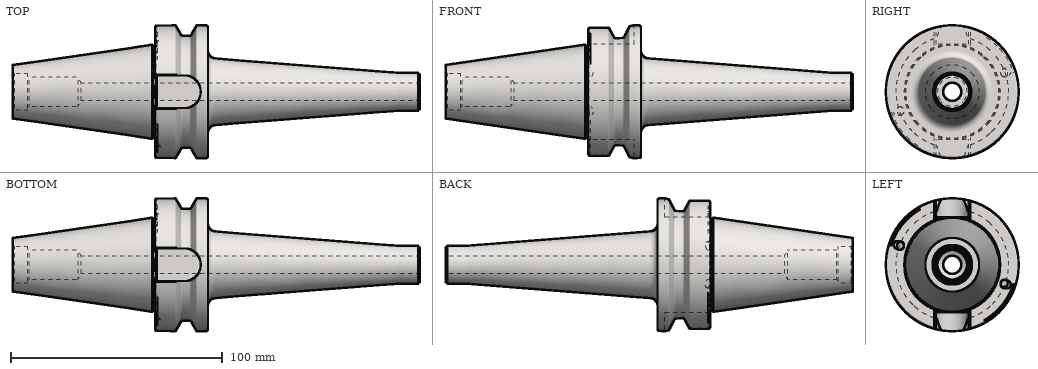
import cadquery as cq
import math

TOTAL_LENGTH = 192.4
GAUGE_X = 65.8
FLANGE_START = 67.3
FLANGE_END = 92.4
NOSE_START = 182.2

GAUGE_DIAMETER = 44.6
GAUGE_RADIUS = GAUGE_DIAMETER / 2
TAPER_RATE = 7 / 24
SHANK_END_RADIUS = GAUGE_RADIUS - GAUGE_X * TAPER_RATE / 2

UNDERCUT_START = 66.4
UNDERCUT_END = 67.7
UNDERCUT_RADIUS = 22.0
UNDERCUT_FACE_RADIUS = 22.7

FLANGE_DIAMETER = 63.0
FLANGE_RADIUS = FLANGE_DIAMETER / 2
RIM_FILLET = 1.2
GROOVE_CENTRE = 82.0
GROOVE_FLOOR_RADIUS = 26.5
GROOVE_FLOOR_WIDTH = 4.2
GROOVE_FLOOR_FILLET = 0.8
GROOVE_RIM_FILLET = 0.5
GROOVE_FLANK_ANGLE = 60

NOSE_RADIUS = 9.0
NOSE_CHAMFER = 1.0
NECK_HALF_ANGLE = 4.5
NECK_FILLET = 3.5

SLOT_WIDTH = 15.5
SLOT_FLOOR = 22.5
SLOT_END = 88.9
SLOT_EDGE_BREAK = 0.5
SLOT_MOUTH_CHAMFER = 0.8
CHAMFER_ANGLE = 45

MOUTH_RADIUS = 9.5
COUNTERBORE_RADIUS = 8.7
COUNTERBORE_DEPTH = 7.0
THREAD_RADIUS = 7.0
THREAD_CHAMFER = 0.8
THREAD_DEPTH = 30.8
THROUGH_RADIUS = 4.2
DRILL_HALF_ANGLE = 60

COOLANT_HOLE_DIAMETER = 4.0
COOLANT_MOUTH_RADIUS = 27.0
COOLANT_DEPTH = 1.5
COOLANT_TILT = 35
COOLANT_ANGLE = 20
COOLANT_LEAD = 2.9

RING_TOLERANCE = 0.02


def revolve_about_x(outline):
    return outline.close().revolve(360, (0, 0, 0), (1, 0, 0))


def fillet_ring(body, x, radius, size):
    def is_ring(edge):
        return abs(edge.arcCenter().x - x) < RING_TOLERANCE and abs(edge.radius() - radius) < RING_TOLERANCE

    return body.edges("%CIRCLE").filter(is_ring).fillet(size)


def make_body():
    flank_run = (FLANGE_RADIUS - GROOVE_FLOOR_RADIUS) / math.tan(math.radians(GROOVE_FLANK_ANGLE))
    floor_half = GROOVE_FLOOR_WIDTH / 2
    top_half = floor_half + flank_run
    neck_root = NOSE_RADIUS + (NOSE_START - FLANGE_END) * math.tan(math.radians(NECK_HALF_ANGLE))
    outline = (
        cq.Workplane("XZ")
        .lineTo(0, SHANK_END_RADIUS)
        .lineTo(GAUGE_X, GAUGE_RADIUS)
        .lineTo(UNDERCUT_START, UNDERCUT_RADIUS)
        .lineTo(UNDERCUT_END, UNDERCUT_RADIUS)
        .lineTo(UNDERCUT_END, UNDERCUT_FACE_RADIUS)
        .lineTo(FLANGE_START, UNDERCUT_FACE_RADIUS)
        .lineTo(FLANGE_START, FLANGE_RADIUS)
        .lineTo(GROOVE_CENTRE - top_half, FLANGE_RADIUS)
        .lineTo(GROOVE_CENTRE - floor_half, GROOVE_FLOOR_RADIUS)
        .lineTo(GROOVE_CENTRE + floor_half, GROOVE_FLOOR_RADIUS)
        .lineTo(GROOVE_CENTRE + top_half, FLANGE_RADIUS)
        .lineTo(FLANGE_END, FLANGE_RADIUS)
        .lineTo(FLANGE_END, neck_root)
        .lineTo(NOSE_START, NOSE_RADIUS)
        .lineTo(TOTAL_LENGTH - NOSE_CHAMFER, NOSE_RADIUS)
        .lineTo(TOTAL_LENGTH, NOSE_RADIUS - NOSE_CHAMFER)
        .lineTo(TOTAL_LENGTH, 0)
    )
    body = revolve_about_x(outline)
    fillets = (
        (FLANGE_END, neck_root, NECK_FILLET),
        (FLANGE_START, FLANGE_RADIUS, RIM_FILLET),
        (FLANGE_END, FLANGE_RADIUS, RIM_FILLET),
        (GROOVE_CENTRE - top_half, FLANGE_RADIUS, GROOVE_RIM_FILLET),
        (GROOVE_CENTRE + top_half, FLANGE_RADIUS, GROOVE_RIM_FILLET),
        (GROOVE_CENTRE - floor_half, GROOVE_FLOOR_RADIUS, GROOVE_FLOOR_FILLET),
        (GROOVE_CENTRE + floor_half, GROOVE_FLOOR_RADIUS, GROOVE_FLOOR_FILLET),
    )
    for x, radius, size in fillets:
        body = fillet_ring(body, x, radius, size)
    return body


def make_bore():
    mouth_chamfer = MOUTH_RADIUS - COUNTERBORE_RADIUS
    cone_length = (THREAD_RADIUS - THROUGH_RADIUS) / math.tan(math.radians(DRILL_HALF_ANGLE))
    outline = (
        cq.Workplane("XZ")
        .lineTo(0, MOUTH_RADIUS)
        .lineTo(mouth_chamfer, COUNTERBORE_RADIUS)
        .lineTo(COUNTERBORE_DEPTH, COUNTERBORE_RADIUS)
        .lineTo(COUNTERBORE_DEPTH, THREAD_RADIUS + THREAD_CHAMFER)
        .lineTo(COUNTERBORE_DEPTH + THREAD_CHAMFER, THREAD_RADIUS)
        .lineTo(THREAD_DEPTH, THREAD_RADIUS)
        .lineTo(THREAD_DEPTH + cone_length, THROUGH_RADIUS)
        .lineTo(TOTAL_LENGTH, THROUGH_RADIUS)
        .lineTo(TOTAL_LENGTH, 0)
    )
    return revolve_about_x(outline)


def make_drive_slot():
    half_width = SLOT_WIDTH / 2
    arc_centre = SLOT_END - half_width
    pocket = (
        cq.Workplane("XY", origin=(0, 0, SLOT_FLOOR))
        .moveTo(GAUGE_X, -half_width)
        .lineTo(arc_centre, -half_width)
        .threePointArc((SLOT_END, 0), (arc_centre, half_width))
        .lineTo(GAUGE_X, half_width)
        .close()
        .extrude(FLANGE_RADIUS)
    )
    mouth_half_width = half_width + SLOT_MOUTH_CHAMFER
    mouth_floor = SLOT_FLOOR - SLOT_MOUTH_CHAMFER
    mouth_top = SLOT_FLOOR + FLANGE_RADIUS
    mouth_flare = (
        cq.Workplane("YZ", origin=(FLANGE_START, 0, 0))
        .moveTo(-mouth_half_width, mouth_floor)
        .lineTo(mouth_half_width, mouth_floor)
        .lineTo(mouth_half_width, mouth_top)
        .lineTo(-mouth_half_width, mouth_top)
        .close()
        .extrude(SLOT_MOUTH_CHAMFER, taper=CHAMFER_ANGLE)
    )
    edge_height = math.sqrt(FLANGE_RADIUS**2 - half_width**2) - SLOT_EDGE_BREAK
    flare_height = FLANGE_RADIUS - edge_height
    edge_flare = (
        cq.Workplane("YZ", origin=(FLANGE_START, 0, 0))
        .moveTo(-half_width, edge_height)
        .lineTo(half_width, edge_height)
        .lineTo(half_width + flare_height, FLANGE_RADIUS)
        .lineTo(-half_width - flare_height, FLANGE_RADIUS)
        .close()
        .extrude(GROOVE_CENTRE - FLANGE_START)
    )
    return pocket.union(mouth_flare).union(edge_flare)


def make_coolant_hole(angle):
    tilt = math.radians(COOLANT_TILT)
    inward = cq.Vector(math.cos(tilt), -math.sin(tilt), 0)
    start = cq.Vector(FLANGE_START, COOLANT_MOUTH_RADIUS, 0) - inward * COOLANT_LEAD
    hole = cq.Solid.makeCylinder(COOLANT_HOLE_DIAMETER / 2, COOLANT_DEPTH + COOLANT_LEAD, start, inward)
    return hole.rotate(cq.Vector(0, 0, 0), cq.Vector(1, 0, 0), angle)


result = make_body().cut(make_bore())
for turn in (0, 180):
    result = result.cut(make_drive_slot().rotate((0, 0, 0), (1, 0, 0), turn))
    result = result.cut(make_coolant_hole(COOLANT_ANGLE + turn))